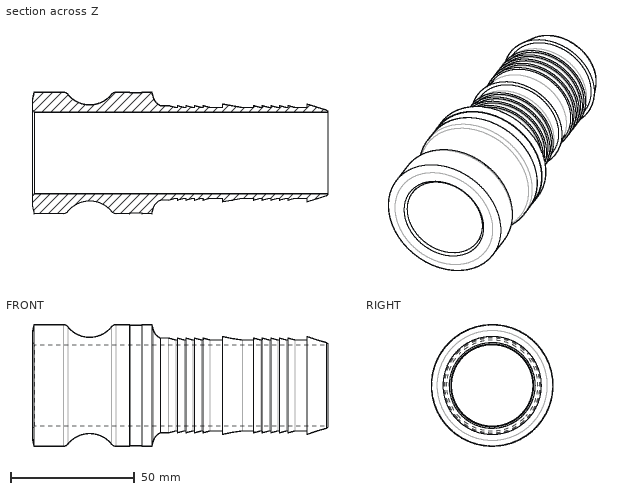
import cadquery as cq
import math

length = 120.0
collar_radius = 49.5 / 2
bore_radius = 33.0 / 2
mouth_chamfer = 1.0

front_face_radius = 21.5
front_bevel_length = 0.7
front_collar_end = 12.6

groove_center_x = 23.3
groove_floor_radius = 19.5
groove_edge_fillet = 2.3

rear_collar_end = 48.5
band_start = 39.4
band_end = 44.4
band_radius = 49.0 / 2
band_ramp = 0.4

neck_radius = 38.5 / 2
shoulder_drop = 2.4
shoulder_run = 0.7
neck_start = 52.0

root_radius = 37.0 / 2
tooth_radius = neck_radius
tooth_pitch = 3.5
tooth_taper_length = 2.9
teeth_per_row = 5
first_row_start = 55.3
second_row_start = 89.8
barb_radius = 19.9
middle_barb_start = 77.0
middle_barb_end = 85.2
end_barb_start = 111.4
end_barb_radius = 17.4
end_chamfer = 0.6


def tooth_row(profile, start, count):
    """Add sawtooth ridges with a steep front face and a tapered back."""
    for index in range(count):
        peak_x = start + index * tooth_pitch
        profile = (
            profile.lineTo(peak_x, root_radius)
            .lineTo(peak_x, tooth_radius)
            .lineTo(peak_x + tooth_taper_length, root_radius)
        )
    return profile


def barb(profile, start, end, end_radius):
    """Add one large barb that tapers toward the hose end."""
    return (
        profile.lineTo(start, root_radius)
        .lineTo(start, barb_radius)
        .lineTo(end, end_radius)
    )


def coupling_groove(profile):
    """Add the concave groove, tangent to a convex fillet on each side."""
    half_width = groove_center_x - front_collar_end
    floor_rise = collar_radius - groove_edge_fillet - groove_floor_radius
    groove_radius = (half_width**2 + floor_rise**2 - groove_edge_fillet**2) / (
        2 * (groove_edge_fillet + floor_rise)
    )
    turn = math.asin(half_width / (groove_radius + groove_edge_fillet))
    fillet_center_r = collar_radius - groove_edge_fillet
    blend_offset = half_width - groove_edge_fillet * math.sin(turn)
    blend_r = fillet_center_r + groove_edge_fillet * math.cos(turn)
    mid_offset = half_width - groove_edge_fillet * math.sin(turn / 2)
    mid_r = fillet_center_r + groove_edge_fillet * math.cos(turn / 2)
    return (
        profile.threePointArc(
            (groove_center_x - mid_offset, mid_r),
            (groove_center_x - blend_offset, blend_r),
        )
        .threePointArc(
            (groove_center_x, groove_floor_radius),
            (groove_center_x + blend_offset, blend_r),
        )
        .threePointArc(
            (groove_center_x + mid_offset, mid_r),
            (groove_center_x + half_width, collar_radius),
        )
    )


def rear_collar(profile):
    """Add the rear collar, its recessed band and the shoulder behind it."""
    shoulder_x = rear_collar_end + shoulder_run
    shoulder_r = collar_radius - shoulder_drop
    return (
        profile.lineTo(band_start, collar_radius)
        .lineTo(band_start + band_ramp, band_radius)
        .lineTo(band_end, band_radius)
        .lineTo(band_end, collar_radius)
        .lineTo(rear_collar_end, collar_radius)
        .lineTo(shoulder_x, shoulder_r)
        .tangentArcPoint((neck_start, neck_radius), relative=False)
        .lineTo(first_row_start, neck_radius)
    )


profile = (
    cq.Workplane("XY")
    .moveTo(mouth_chamfer, bore_radius)
    .lineTo(0, bore_radius + mouth_chamfer)
    .lineTo(0, front_face_radius)
    .lineTo(front_bevel_length, collar_radius)
    .lineTo(front_collar_end, collar_radius)
)
profile = coupling_groove(profile)
profile = rear_collar(profile)
profile = profile.lineTo(first_row_start + tooth_taper_length, root_radius)
profile = tooth_row(profile, first_row_start + tooth_pitch, teeth_per_row - 1)
profile = barb(profile, middle_barb_start, middle_barb_end, root_radius)
profile = tooth_row(profile, second_row_start, teeth_per_row)
profile = barb(profile, end_barb_start, length - end_chamfer, end_barb_radius)
profile = (
    profile.lineTo(length, end_barb_radius - end_chamfer)
    .lineTo(length, bore_radius)
    .close()
)

result = profile.revolve(360, (0, 0, 0), (1, 0, 0))